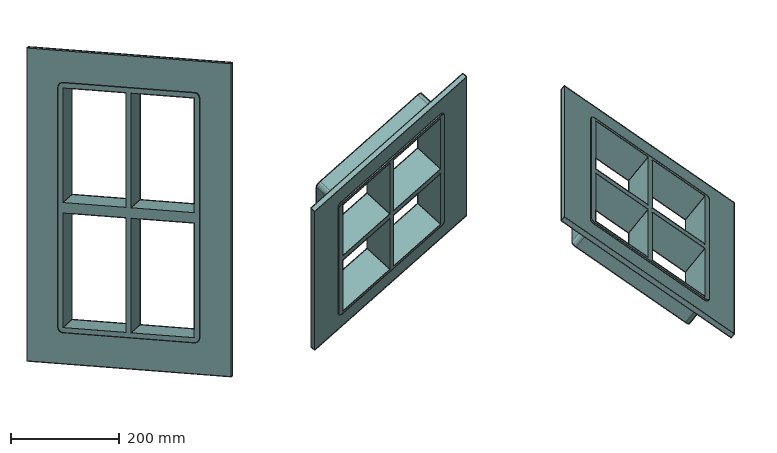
import cadquery as cq

flange_width = 391.0
flange_height = 596.0
flange_thickness = 10.0

flange_border = 60.0
frame_width = flange_width - 2 * flange_border
frame_height = flange_height - 2 * flange_border
frame_depth = 60.0
frame_front_lip = 3.0
frame_corner_radius = 10.0

frame_wall = 10.0
vertical_bar_width = 10.0
horizontal_bar_height = 20.0
opening_width = (frame_width - 2 * frame_wall - vertical_bar_width) / 2
opening_height = (frame_height - 2 * frame_wall - horizontal_bar_height) / 2

opening_offset_x = (opening_width + vertical_bar_width) / 2
opening_offset_z = (opening_height + horizontal_bar_height) / 2


def block(width, depth, height, front_y):
    """Box centred on X and Z that runs from front_y toward +Y."""
    return cq.Workplane("XY").box(width, depth, height).translate((0, front_y + depth / 2, 0))


def make_flange():
    return block(flange_width, flange_thickness, flange_height, frame_front_lip)


def make_frame():
    frame = block(frame_width, frame_depth, frame_height, 0)
    return frame.edges("|Y").fillet(frame_corner_radius)


def make_opening(side_x, side_z):
    opening = block(opening_width, frame_depth, opening_height, 0)
    return opening.translate((side_x * opening_offset_x, 0, side_z * opening_offset_z))


result = make_flange().union(make_frame())
for side_x in (-1, 1):
    for side_z in (-1, 1):
        result = result.cut(make_opening(side_x, side_z))